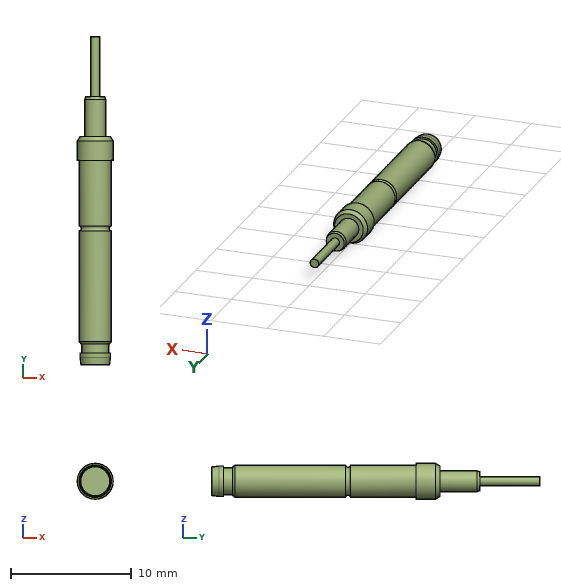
import cadquery as cq

FRONT_Y = 0.0
TOTAL_LENGTH = 27.3

WIRE_DIAMETER = 0.76
SLEEVE_DIAMETER = 1.75
COLLAR_DIAMETER = 3.0
BODY_DIAMETER = 2.7
NECK_DIAMETER = 2.25
PLUG_DIAMETER = 2.55
PLUG_FACE_DIAMETER = 2.4

WIRE_LENGTH = 5.0
SLEEVE_LENGTH = 3.3
COLLAR_LENGTH = 2.0
BODY_REAR_LENGTH = 5.45
GROOVE_WIDTH = 0.4
NECK_LENGTH = 0.75
PLUG_LENGTH = 1.0

GROOVE_DEPTH = 0.18

SLEEVE_BEVEL_LENGTH = 0.25
SLEEVE_BEVEL_DEPTH = 0.08
COLLAR_BEVEL_LENGTH = 0.4
COLLAR_BEVEL_DEPTH = 0.23
BODY_BEVEL_LENGTH = 0.2
BODY_BEVEL_DEPTH = 0.16
PLUG_BEVEL_LENGTH = 0.6
PLUG_BEVEL_DEPTH = (PLUG_DIAMETER - PLUG_FACE_DIAMETER) / 2

plug_rear = FRONT_Y + PLUG_LENGTH
body_front = plug_rear + NECK_LENGTH
wire_end = FRONT_Y + TOTAL_LENGTH
sleeve_rear = wire_end - WIRE_LENGTH
collar_rear = sleeve_rear - SLEEVE_LENGTH
collar_front = collar_rear - COLLAR_LENGTH
groove_center = collar_front - BODY_REAR_LENGTH - GROOVE_WIDTH / 2


def cylinder(diameter, front, rear):
    """Solid cylinder on the Y axis between two stations."""
    return cq.Workplane("XZ", origin=(0, rear, 0)).circle(diameter / 2).extrude(rear - front)


def bevel(section, end_face, length, depth):
    """Cut a conical bevel on the end of a cylinder that the selector picks."""
    return section.faces(end_face).chamfer(length, depth)


def groove_ring():
    """Ring with a circular-arc profile that cuts the round-bottomed groove."""
    body_radius = BODY_DIAMETER / 2
    half_width = GROOVE_WIDTH / 2
    profile = (
        cq.Workplane("XY")
        .moveTo(body_radius, groove_center - half_width)
        .threePointArc(
            (body_radius - GROOVE_DEPTH, groove_center),
            (body_radius, groove_center + half_width),
        )
        .close()
    )
    return profile.revolve(360, (0, 0), (0, 1))


wire = cylinder(WIRE_DIAMETER, sleeve_rear, wire_end)

sleeve = cylinder(SLEEVE_DIAMETER, collar_rear, sleeve_rear)
sleeve = bevel(sleeve, ">Y", SLEEVE_BEVEL_LENGTH, SLEEVE_BEVEL_DEPTH)

collar = cylinder(COLLAR_DIAMETER, collar_front, collar_rear)
collar = bevel(collar, ">Y", COLLAR_BEVEL_LENGTH, COLLAR_BEVEL_DEPTH)

body = cylinder(BODY_DIAMETER, body_front, collar_front)
body = bevel(body, "<Y", BODY_BEVEL_LENGTH, BODY_BEVEL_DEPTH).cut(groove_ring())

neck = cylinder(NECK_DIAMETER, plug_rear, body_front)

plug = cylinder(PLUG_DIAMETER, FRONT_Y, plug_rear)
plug = bevel(plug, "<Y", PLUG_BEVEL_LENGTH, PLUG_BEVEL_DEPTH)

result = plug.union(neck).union(body).union(collar).union(sleeve).union(wire)